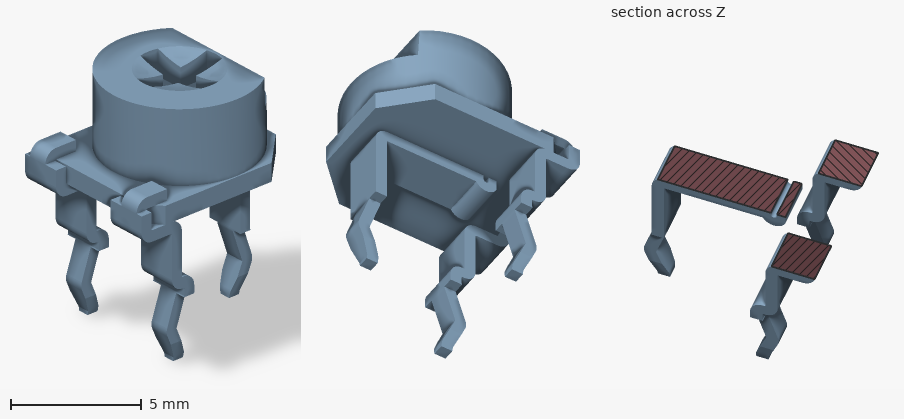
import cadquery as cq
import math

sheet = 0.5
inner_bend = 0.04
outer_bend = inner_bend + sheet
clearance = 10.65

plate_width = 6.81
plate_half_width = plate_width / 2
plate_back = 3.38
plate_front = -4.32
plate_bottom = 6.51
plate_top = 7.33
back_chamfer = 1.66
front_chamfer_depth = 0.65
front_chamfer_width = 0.8

knob_radius = 3.34
knob_top = 10.65
step_height = 9.34
flat_top = 1.97
flat_bottom = 2.02
dish_radius = 1.83
dish_depth = 0.32
cross_width = 0.89
cross_depth = 1.19

blade_width = 1.81
bend_height = 3.09
blade_bottom = 3.04
leg_width = 0.89
knee_height = 1.5
tip_bend_height = 0.17
taper_height = 0.89
tip_width = 0.49

upright_inner = -4.38
side_blade_front = -3.33
side_leg_front = -2.7
jog_top = 3.95
hook_end = -3.33
hook_width = 0.89
hook_inset = 0.29

centre_leg_back = 2.8
loop_y = -2.22
loop_z = 6.23
loop_front = -2.69
slot_radius = 0.12
slot_bottom = 6.2


def around(centre, degrees, radius=sheet):
    """Point of the YZ plane at a radius from a bend centre, one sheet thickness unless given."""
    angle = math.radians(degrees)
    return (centre[0] + radius * math.cos(angle), centre[1] + radius * math.sin(angle))


def add_bend(profile, centre, radius, start, end):
    """Continue a YZ profile with a straight line and then an arc from start to end degrees."""
    return profile.lineTo(*around(centre, start, radius)).threePointArc(
        around(centre, (start + end) / 2, radius),
        around(centre, end, radius),
    )


def extrude_centred(profile, x_centre, width):
    """Extrude a closed YZ profile to a width centred on x_centre."""
    return profile.extrude(width / 2, both=True).translate((x_centre, 0, 0))


def make_plate():
    right_half = [
        (plate_half_width - back_chamfer, plate_back),
        (plate_half_width, plate_back - back_chamfer),
        (plate_half_width, plate_front + front_chamfer_depth),
        (plate_half_width - front_chamfer_width, plate_front),
    ]
    left_half = [(-x, y) for x, y in reversed(right_half)]
    outline = cq.Workplane("XY", origin=(0, 0, plate_bottom)).polyline(right_half + left_half).close()
    return outline.extrude(plate_top - plate_bottom)


def make_knob():
    knob = cq.Workplane("XY", origin=(0, 0, plate_top)).circle(knob_radius).extrude(knob_top - plate_top)

    step = (
        cq.Workplane("YZ")
        .moveTo(flat_top, knob_top)
        .lineTo(flat_bottom, step_height)
        .lineTo(clearance, step_height)
        .lineTo(clearance, knob_top)
        .close()
    )
    knob = knob.cut(extrude_centred(step, 0, clearance))

    sphere_radius = (dish_radius**2 + dish_depth**2) / (2 * dish_depth)
    dish = cq.Workplane("XY").sphere(sphere_radius).translate((0, 0, knob_top - dish_depth + sphere_radius))
    knob = knob.cut(dish)

    floor = cq.Workplane("XY", origin=(0, 0, knob_top - cross_depth))
    cross = floor.rect(2 * dish_radius, cross_width).extrude(cross_depth)
    cross = cross.union(floor.rect(cross_width, 2 * dish_radius).extrude(cross_depth))
    cross = cross.intersect(floor.circle(dish_radius).extrude(cross_depth))
    return knob.cut(cross)


def make_leg(x_centre, leg_back):
    """Kinked leg with a tapered tip, bulging toward +Y from the face at leg_back."""
    top_pivot = (leg_back, bend_height)
    knee_pivot = (leg_back, knee_height)
    tip_pivot = (leg_back, tip_bend_height)
    upper_tilt = math.degrees(math.asin(sheet / (bend_height - knee_height)))
    lower_tilt = math.degrees(math.asin(sheet / (knee_height - tip_bend_height)))
    profile = cq.Workplane("YZ").moveTo(*top_pivot)
    profile = add_bend(profile, knee_pivot, sheet, upper_tilt, -lower_tilt)
    profile = profile.lineTo(*tip_pivot).lineTo(leg_back, 0).lineTo(leg_back - sheet, 0)
    profile = add_bend(profile, tip_pivot, sheet, 180, 180 - lower_tilt)
    profile = profile.lineTo(*knee_pivot)
    profile = add_bend(profile, top_pivot, sheet, 180 + upper_tilt, 180).close()
    leg = extrude_centred(profile, x_centre, blade_width)

    outline = cq.Workplane("XZ").polyline([
        (x_centre - tip_width / 2, 0),
        (x_centre + tip_width / 2, 0),
        (x_centre + leg_width / 2, taper_height),
        (x_centre + leg_width / 2, blade_bottom),
        (x_centre + blade_width / 2, blade_bottom),
        (x_centre + blade_width / 2, bend_height),
        (x_centre - blade_width / 2, bend_height),
        (x_centre - blade_width / 2, blade_bottom),
        (x_centre - leg_width / 2, blade_bottom),
        (x_centre - leg_width / 2, taper_height),
    ]).close()
    return leg.intersect(outline.extrude(clearance, both=True))


def make_side_terminal(side):
    """Terminal clamped to the plate front; side is -1 for left and +1 for right."""
    x_blade = side * (plate_half_width - blade_width / 2)
    x_hook = side * (plate_half_width - hook_inset - hook_width / 2)
    jog_bottom = jog_top - sheet
    strip_bottom = plate_bottom - sheet
    blade_back = side_blade_front + sheet
    leg_back = side_leg_front + sheet
    shoulder = plate_top - inner_bend
    upright_bend = (upright_inner + inner_bend, plate_bottom + inner_bend)
    blade_bend = (side_blade_front - inner_bend, strip_bottom - inner_bend)
    jog_upper_bend = (blade_back + inner_bend, jog_top + inner_bend)
    jog_lower_bend = (side_leg_front - inner_bend, jog_bottom - inner_bend)
    hook_bend = (upright_inner + inner_bend, shoulder)

    blade_profile = cq.Workplane("YZ").moveTo(upright_inner, shoulder)
    blade_profile = add_bend(blade_profile, upright_bend, inner_bend, 180, 270)
    blade_profile = add_bend(blade_profile, blade_bend, outer_bend, 90, 0)
    blade_profile = add_bend(blade_profile, jog_upper_bend, inner_bend, 180, 270)
    blade_profile = add_bend(blade_profile, jog_lower_bend, outer_bend, 90, 0)
    blade_profile = blade_profile.lineTo(leg_back, bend_height).lineTo(side_leg_front, bend_height)
    blade_profile = add_bend(blade_profile, jog_lower_bend, inner_bend, 0, 90)
    blade_profile = add_bend(blade_profile, jog_upper_bend, outer_bend, 270, 180)
    blade_profile = add_bend(blade_profile, blade_bend, inner_bend, 0, 90)
    blade_profile = add_bend(blade_profile, upright_bend, outer_bend, 270, 180)
    blade_profile = blade_profile.lineTo(upright_inner - sheet, shoulder).close()
    blade = extrude_centred(blade_profile, x_blade, blade_width)

    hook_profile = cq.Workplane("YZ").moveTo(hook_end, plate_top).lineTo(hook_end, plate_top + sheet)
    hook_profile = add_bend(hook_profile, hook_bend, outer_bend, 90, 180)
    hook_profile = add_bend(hook_profile, hook_bend, inner_bend, 180, 90).close()
    hook = extrude_centred(hook_profile, x_hook, hook_width)

    leg = make_leg(-x_blade, -side_leg_front).rotate((0, 0, 0), (0, 0, 1), 180)
    return blade.union(hook).union(leg)


def make_centre_terminal():
    strip_bottom = plate_bottom - sheet
    leg_front = centre_leg_back - sheet
    blade_bend = (leg_front - inner_bend, strip_bottom - inner_bend)
    loop_centre = (loop_y, loop_z)
    loop_start = math.degrees(math.asin((strip_bottom - loop_z) / sheet))
    loop_end = -math.degrees(math.acos((loop_front - loop_y) / sheet))
    slot_centre = (loop_y, slot_bottom + slot_radius)

    profile = cq.Workplane("YZ").moveTo(leg_front, bend_height)
    profile = add_bend(profile, blade_bend, inner_bend, 0, 90)
    profile = add_bend(profile, loop_centre, sheet, loop_start, loop_end)
    profile = profile.lineTo(loop_front, plate_bottom).lineTo(loop_y - slot_radius, plate_bottom)
    profile = add_bend(profile, slot_centre, slot_radius, -180, 0)
    profile = profile.lineTo(loop_y + slot_radius, plate_bottom)
    profile = add_bend(profile, blade_bend, outer_bend, 90, 0)
    profile = profile.lineTo(centre_leg_back, bend_height).close()
    return extrude_centred(profile, 0, blade_width).union(make_leg(0, centre_leg_back))


plate = make_plate()
knob = make_knob()
side_terminals = [make_side_terminal(side) for side in (-1, 1)]
centre_terminal = make_centre_terminal()

result = cq.Compound.makeCompound([
    plate.val(),
    knob.val(),
    *[terminal.val() for terminal in side_terminals],
    centre_terminal.val(),
])